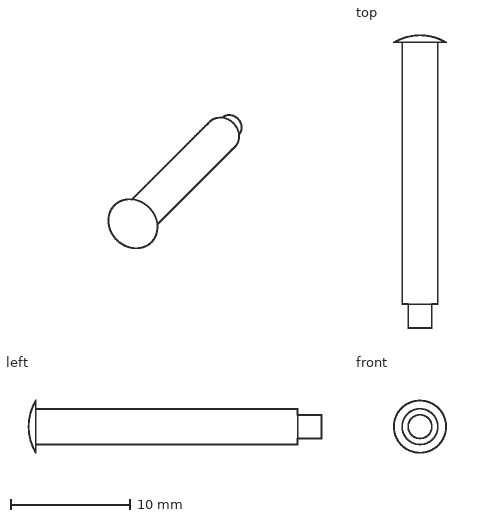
import cadquery as cq

total_length = 24.6
head_diameter = 4.4
head_height = 0.62
shank_diameter = 3.0
tip_diameter = 2.0
tip_length = 2.02

head_radius = head_diameter / 2
shank_radius = shank_diameter / 2
tip_radius = tip_diameter / 2
head_base_y = total_length - head_height

dome_radius = (head_radius**2 + head_height**2) / (2 * head_height)
dome_center_y = total_length - dome_radius
arc_mid_x = head_radius / 2
arc_mid_y = dome_center_y + (dome_radius**2 - arc_mid_x**2) ** 0.5

half_profile = (
    cq.Workplane("XY")
    .moveTo(0, 0)
    .lineTo(tip_radius, 0)
    .lineTo(tip_radius, tip_length)
    .lineTo(shank_radius, tip_length)
    .lineTo(shank_radius, head_base_y)
    .lineTo(head_radius, head_base_y)
    .threePointArc((arc_mid_x, arc_mid_y), (0, total_length))
    .close()
)

result = half_profile.revolve(360, (0, 0, 0), (0, 1, 0))